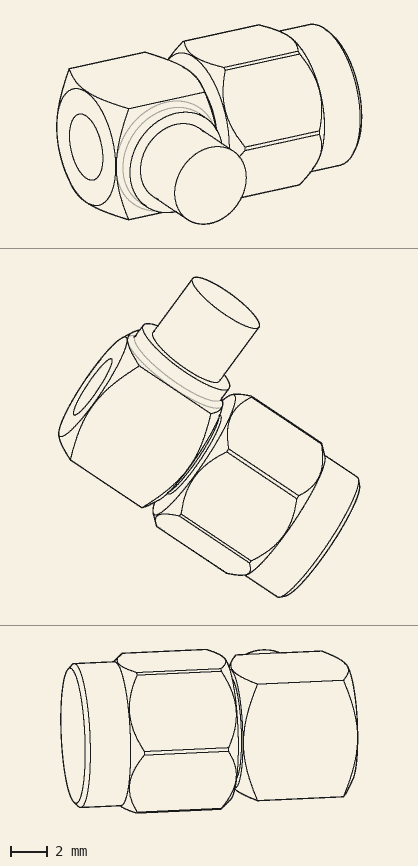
import cadquery as cq
import math


block_width = 6.58
block_length = 6.39
block_end_diameter = 6.52
block_chamfer_angle = 30.0

arm_y = block_length / 2
flange_diameter = 5.84
flange_length = 1.05
flange_fillet = 0.27
tube_diameter = 4.51
tube_end_x = 8.12

neck_diameter = 5.18
neck_length = 0.38
neck_root_size = 0.23

cap_diameter = 3.69
cap_thickness = 0.45

nut_start_y = block_length + neck_length
nut_end_y = 15.24
hex_across_flats = 7.94
hex_across_corners = 9.05
hex_length = 5.99
hex_end_diameter = 7.88
hex_chamfer_angle = 48.0
collar_diameter = 7.9
collar_chamfer = 0.25


def cylinder_along_y(diameter, start_y, length):
    """Solid cylinder on the main axis, growing toward +Y."""
    return cq.Workplane("XZ", origin=(0, start_y, 0)).circle(diameter / 2).extrude(-length)


def cylinder_along_x(diameter, start_x, length):
    """Solid cylinder on the cable arm axis, growing toward +X."""
    return cq.Workplane("YZ", origin=(start_x, arm_y, 0)).circle(diameter / 2).extrude(length)


def coned_envelope(start_y, length, end_diameter, outer_diameter, angle):
    """Round bar on the main axis with a cone at each end, used to trim prism corners."""
    end_radius = end_diameter / 2
    outer_radius = outer_diameter / 2
    cone_length = (outer_radius - end_radius) * math.tan(math.radians(angle))
    end_y = start_y + length
    return (
        cq.Workplane("XY")
        .moveTo(0, start_y)
        .lineTo(end_radius, start_y)
        .lineTo(outer_radius, start_y + cone_length)
        .lineTo(outer_radius, end_y - cone_length)
        .lineTo(end_radius, end_y)
        .lineTo(0, end_y)
        .close()
        .revolve(360, (0, 0, 0), (0, 1, 0))
    )


def flange_root_ring(start_x):
    """Ring with a concave quarter-round that blends the flange into the block face."""
    flange_radius = flange_diameter / 2
    arc_offset = flange_fillet * (1 - math.sqrt(0.5))
    return (
        cq.Workplane("XY", origin=(start_x, arm_y, 0))
        .lineTo(0, flange_radius + flange_fillet)
        .threePointArc((arc_offset, flange_radius + arc_offset), (flange_fillet, flange_radius))
        .lineTo(flange_fillet, 0)
        .close()
        .revolve(360, (0, 0, 0), (1, 0, 0))
    )


def make_cap():
    return cylinder_along_y(cap_diameter, 0, cap_thickness)


def make_elbow():
    block_diagonal = block_width * math.sqrt(2)
    block = cq.Workplane("XZ").rect(block_width, block_width).extrude(-block_length)
    block = block.intersect(
        coned_envelope(0, block_length, block_end_diameter, block_diagonal, block_chamfer_angle)
    )

    arm_start_x = block_width / 2
    flange = cylinder_along_x(flange_diameter, arm_start_x, flange_length)
    tube = cylinder_along_x(tube_diameter, arm_start_x, tube_end_x - arm_start_x)
    flange_root = flange_root_ring(arm_start_x)

    neck = cylinder_along_y(neck_diameter, block_length, neck_length)
    neck_root = cq.Workplane(
        cq.Solid.makeCone(
            neck_diameter / 2 + neck_root_size,
            neck_diameter / 2,
            neck_root_size,
            pnt=cq.Vector(0, block_length, 0),
            dir=cq.Vector(0, 1, 0),
        )
    )

    elbow = block.union(flange).union(flange_root).union(tube).union(neck).union(neck_root)
    return elbow.cut(make_cap())


def make_nut():
    circumscribed_diameter = hex_across_flats / math.cos(math.pi / 6)
    hexagon = (
        cq.Workplane("XZ", origin=(0, nut_start_y, 0))
        .polygon(6, circumscribed_diameter)
        .extrude(-hex_length)
        .intersect(
            coned_envelope(nut_start_y, hex_length, hex_end_diameter, hex_across_corners, hex_chamfer_angle)
        )
    )
    collar_start_y = nut_start_y + hex_length
    collar = (
        cylinder_along_y(collar_diameter, collar_start_y, nut_end_y - collar_start_y)
        .faces(">Y")
        .chamfer(collar_chamfer)
    )
    return hexagon.union(collar)


cap = make_cap()
elbow = make_elbow()
nut = make_nut()

result = cq.Compound.makeCompound([elbow.val(), cap.val(), nut.val()])